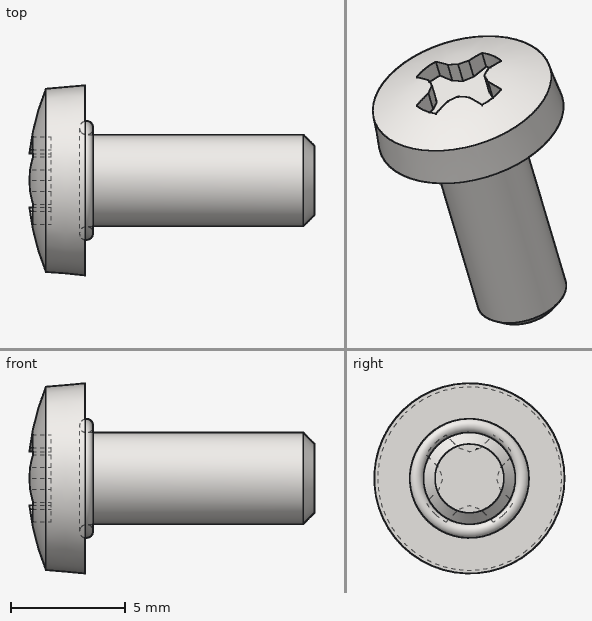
import cadquery as cq
import math


shank_radius = 2.0
shank_length = 10.0
tip_chamfer = 0.5

head_height = 2.5
bearing_radius = 4.15
rim_radius = 4.0
dome_radius = 10.5

wing_half_width = 0.61
recess_radius = 2.16
lobe_tip_distance = 1.17
lobe_half_width = 0.475
recess_depth = 1.0

ring_section_radius = 0.3
ring_center_offset = 0.05


def dome_sag(radius):
    """Axial drop of the dome from its apex at the given radius."""
    return dome_radius - math.sqrt(dome_radius**2 - radius**2)


def revolve_about_x(profile):
    return profile.close().revolve(360, (0, 0, 0), (1, 0, 0))


def make_blank():
    """Head and shank without the cross recess."""
    apex_x = -head_height
    rim_x = apex_x + dome_sag(rim_radius)
    mid_dome_radius = rim_radius / 2
    profile = (
        cq.Workplane("XY")
        .moveTo(apex_x, 0)
        .threePointArc((apex_x + dome_sag(mid_dome_radius), mid_dome_radius), (rim_x, rim_radius))
        .lineTo(0, bearing_radius)
        .lineTo(0, shank_radius)
        .lineTo(shank_length - tip_chamfer, shank_radius)
        .lineTo(shank_length, shank_radius - tip_chamfer)
        .lineTo(shank_length, 0)
    )
    return revolve_about_x(profile)


def turned(point, quarter_turns):
    """Rotate a (y, z) point about the screw axis by quarter turns."""
    y, z = point
    for _ in range(quarter_turns):
        y, z = -z, y
    return y, z


def make_recess():
    """Four-winged recess with wings on the diagonals and pointed lobes of metal between them."""
    wing_reach = math.sqrt(recess_radius**2 - wing_half_width**2)
    wing_end_near = (wing_reach - wing_half_width) / math.sqrt(2)
    wing_end_far = (wing_reach + wing_half_width) / math.sqrt(2)
    wing_end_middle = recess_radius / math.sqrt(2)
    lobe_corner_distance = lobe_half_width + wing_half_width * math.sqrt(2)

    outline = cq.Workplane("YZ", origin=(-head_height, 0, 0)).moveTo(wing_end_near, wing_end_far)
    for turn in range(4):
        outline = (
            outline.lineTo(*turned((lobe_half_width, lobe_corner_distance), turn))
            .lineTo(*turned((0, lobe_tip_distance), turn))
            .lineTo(*turned((-lobe_half_width, lobe_corner_distance), turn))
            .lineTo(*turned((-wing_end_near, wing_end_far), turn))
            .threePointArc(
                turned((-wing_end_middle, wing_end_middle), turn),
                turned((-wing_end_far, wing_end_near), turn),
            )
        )
    return outline.close().extrude(recess_depth)


def make_sealing_ring():
    """O-ring that hugs the shank and is partly sunk into the bearing face."""
    ring_center_radius = shank_radius + ring_section_radius
    section = cq.Workplane("XY").center(ring_center_offset, ring_center_radius).circle(ring_section_radius)
    return section.revolve(360, (0, -ring_center_radius, 0), (1, -ring_center_radius, 0))


sealing_ring = make_sealing_ring()
screw = make_blank().cut(make_recess()).cut(sealing_ring)

result = cq.Compound.makeCompound([screw.val(), sealing_ring.val()])